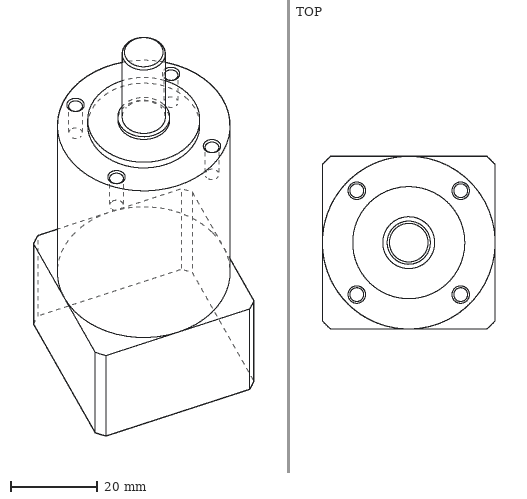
import cadquery as cq
import math

total_height = 106.5
body_diameter = 40.0

block_height = 28.5
block_corner_diameter = 54.0

body_height = 52.0
pilot_diameter = 26.0
pilot_height = 2.0
collar_diameter = 12.0
collar_height = 1.0
shaft_diameter = 10.0
shaft_chamfer = 0.5

hole_spacing = 24.1
hole_diameter = 3.2
hole_depth = 10.0
countersink_diameter = 4.0
countersink_angle = 90
drill_point_angle = 118

body_top = block_height + body_height
pilot_top = body_top + pilot_height
collar_top = pilot_top + collar_height


def cylinder(diameter, bottom, top):
    """Cylinder on the Z axis between two levels."""
    return cq.Workplane("XY").workplane(offset=bottom).circle(diameter / 2).extrude(top - bottom)


def base_block():
    """Square block with its vertical edges turned to a circle about the Z axis."""
    block = cq.Workplane("XY").rect(body_diameter, body_diameter).extrude(block_height)
    return block.intersect(cylinder(block_corner_diameter, 0, block_height))


def output_shaft():
    """Shaft with a chamfered free end."""
    shaft = cylinder(shaft_diameter, collar_top, total_height)
    return shaft.faces(">Z").edges().chamfer(shaft_chamfer)


def mounting_hole():
    """Cutter for one countersunk hole with a drill point, its mouth at the origin."""
    hole_radius = hole_diameter / 2
    mouth_radius = countersink_diameter / 2
    countersink_depth = (mouth_radius - hole_radius) / math.tan(math.radians(countersink_angle / 2))
    point_depth = hole_radius / math.tan(math.radians(drill_point_angle / 2))
    return (
        cq.Workplane("XZ")
        .lineTo(mouth_radius, 0)
        .lineTo(hole_radius, -countersink_depth)
        .lineTo(hole_radius, -hole_depth)
        .lineTo(0, -hole_depth - point_depth)
        .close()
        .revolve()
    )


def mounting_holes():
    """Cutters for the holes at the corners of a square pattern."""
    hole_centers = cq.Workplane("XY").workplane(offset=body_top).rect(
        hole_spacing, hole_spacing, forConstruction=True
    )
    cutter = mounting_hole().val()
    return hole_centers.vertices().eachpoint(lambda location: cutter.moved(location), combine=False)


housing = (
    base_block()
    .union(cylinder(body_diameter, block_height, body_top))
    .union(cylinder(pilot_diameter, body_top, pilot_top))
    .union(cylinder(collar_diameter, pilot_top, collar_top))
    .union(output_shaft())
)

result = housing.cut(mounting_holes())